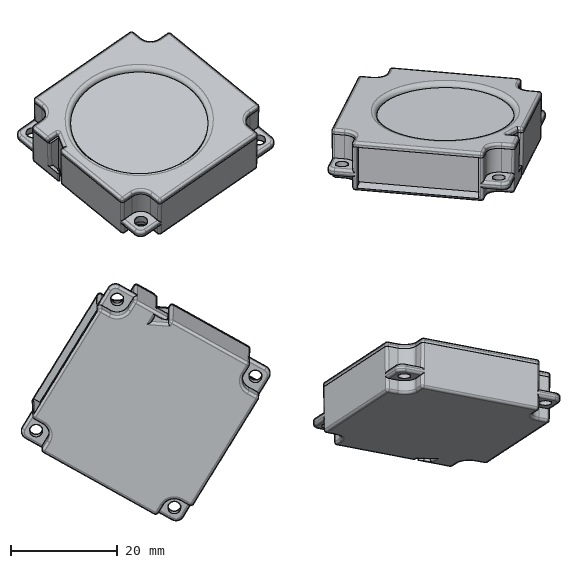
import cadquery as cq
import math

SIDE = 35.0
HEIGHT = 10.0
HALF = SIDE / 2
TOP_Z = HEIGHT / 2
BOTTOM_Z = -TOP_Z

COVER_THICKNESS = 1.0
BASE_TOP_Z = TOP_Z - COVER_THICKNESS
BASE_HEIGHT = HEIGHT - COVER_THICKNESS
INTAKE_Y = -1.65
INTAKE_RADIUS = 12.85

EDGE_RADIUS = 0.52
BASE_DRAFT = 1.0

HOLE_OFFSET = 14.98
HOLE_DIAMETER = 2.4
NOTCH_RADIUS = 2.45
NOTCH_WALL = HOLE_OFFSET - NOTCH_RADIUS
EAR_TOP_Z = -0.88
EAR_THICKNESS = 1.55
EAR_CORNER_RADIUS = 1.5
CORNERS = [(sx, sy) for sx in (-1, 1) for sy in (-1, 1)]

OUTLET_HALF_WIDTH = 11.62
OUTLET_RECESS_X = -16.15
OUTLET_RECESS_BOTTOM_Z = -3.68
OUTLET_GAP_DEPTH = 5.0
OUTLET_LIP_Z = BOTTOM_Z + EDGE_RADIUS

CHANNEL_LEFT_X = -7.6
CHANNEL_LEFT_Y = -15.12
CHANNEL_RIGHT_X = -4.75
CHANNEL_RIGHT_Y = -16.5
CHANNEL_SLOPE = (CHANNEL_RIGHT_Y - CHANNEL_LEFT_Y) / (CHANNEL_RIGHT_X - CHANNEL_LEFT_X)
COVER_CHANNEL_CLEARANCE = 0.42
COVER_CHANNEL_CORNER_RADIUS = 0.15

FLAP_TOP_Z = -2.52
FLAP_BACK_Y = -16.65
FLAP_TAPER_X = -6.3
FLAP_TIP_X = -5.25
FLAP_TIP_Y = -17.0
FLAP_TIP_RADIUS = 0.2

OVERCUT = 1.75
MARGIN = 0.18


def corner_region(wall, radius, bottom_z, top_z):
    """Prisms that fill the four corners outside `wall`, with a rounded inner corner."""
    size = HALF + OVERCUT - wall
    middle = wall + size / 2
    prism = (
        cq.Workplane("XY")
        .workplane(offset=bottom_z)
        .center(middle, middle)
        .rect(size, size)
        .extrude(top_z - bottom_z)
        .edges("|Z and <X and <Y")
        .fillet(radius)
    )
    region = cq.Workplane("XY")
    for turn in range(4):
        region = region.add(prism.rotate((0, 0, 0), (0, 0, 1), 90 * turn))
    return region.combine()


def is_notch_mouth(edge):
    """True for an upright edge where a notch wall meets an outer wall."""
    centre = edge.Center()
    near, far = sorted((abs(centre.x), abs(centre.y)))
    return abs(near - NOTCH_WALL) < EDGE_RADIUS / 2 and far > HALF - EDGE_RADIUS


def round_notch_mouths(body):
    """Round the upright edges where the corner notches open to the outer walls."""
    upright = [e for e in body.edges().vals() if e.BoundingBox().zlen > COVER_THICKNESS / 2]
    return body.newObject([e for e in upright if is_notch_mouth(e)]).fillet(EDGE_RADIUS)


def channel(left_x, bottom_z, top_z):
    """Prism that cuts the wire channel, its left wall at `left_x`."""
    left_y = CHANNEL_LEFT_Y + CHANNEL_SLOPE * (left_x - CHANNEL_LEFT_X)
    mouth_y = -HALF - OVERCUT
    outline = [
        (left_x, mouth_y),
        (left_x, left_y),
        (CHANNEL_RIGHT_X, CHANNEL_RIGHT_Y),
        (CHANNEL_RIGHT_X, mouth_y),
    ]
    floor = cq.Workplane("XY").workplane(offset=bottom_z)
    return floor.polyline(outline).close().extrude(top_z - bottom_z)


def upright_mouth_edge(x, bottom_z):
    """Selects the upright edge at `x` in the -Y side that starts at `bottom_z`."""
    return cq.selectors.BoxSelector(
        (x - MARGIN, -HALF - MARGIN, bottom_z + MARGIN), (x + MARGIN, -HALF + MARGIN, TOP_Z - MARGIN)
    )


def drafted_block():
    """Square block of the base's full height, leaning in towards the bottom."""
    top_outline = cq.Workplane("XY").workplane(offset=BASE_TOP_Z).rect(SIDE, SIDE)
    return top_outline.extrude(-BASE_HEIGHT, taper=BASE_DRAFT)


def make_tower():
    """Base block without ears: drafted, notched at the corners, notch mouths rounded."""
    tower = drafted_block().cut(corner_region(NOTCH_WALL, NOTCH_RADIUS, BOTTOM_Z, BASE_TOP_Z))
    return round_notch_mouths(tower)


def flap_prism():
    """Thin tapered tongue across the channel, reaching past the outer wall."""
    left_x = CHANNEL_LEFT_X - OVERCUT
    front_y = -HALF - OVERCUT
    outline = [
        (left_x, front_y),
        (left_x, FLAP_BACK_Y),
        (FLAP_TAPER_X, FLAP_BACK_Y),
        (FLAP_TIP_X, FLAP_TIP_Y),
        (FLAP_TIP_X, front_y),
    ]
    floor = cq.Workplane("XY").workplane(offset=BOTTOM_Z)
    return floor.polyline(outline).close().extrude(FLAP_TOP_Z - BOTTOM_Z)


def cut_wire_channel(body):
    """Cut the channel around the flap and round its two upright mouth edges."""
    body = body.cut(channel(CHANNEL_LEFT_X, BOTTOM_Z, BASE_TOP_Z).cut(flap_prism()))
    left_mouth = upright_mouth_edge(CHANNEL_LEFT_X, FLAP_TOP_Z)
    right_mouth = upright_mouth_edge(CHANNEL_RIGHT_X, BOTTOM_Z)
    return body.edges(left_mouth + right_mouth).fillet(EDGE_RADIUS)


def round_bottom(body):
    """Round the bottom edges, except along the back and tip of the thin flap."""
    flap_edges = cq.selectors.BoxSelector(
        (CHANNEL_LEFT_X, FLAP_TIP_Y - EDGE_RADIUS / 2, BOTTOM_Z - MARGIN),
        (FLAP_TIP_X + MARGIN, FLAP_BACK_Y + MARGIN, BOTTOM_Z + MARGIN),
    )
    all_edges = cq.selectors.BoxSelector(
        (-HALF, -HALF, BOTTOM_Z - MARGIN), (HALF, HALF, BOTTOM_Z + MARGIN)
    )
    return body.edges(all_edges - flap_edges).fillet(EDGE_RADIUS)


def round_flap_tip(body):
    return body.edges(upright_mouth_edge(FLAP_TIP_X, BOTTOM_Z)).fillet(FLAP_TIP_RADIUS)


def make_ears():
    """Four rounded ears with mounting holes that fill the notches at ear height."""
    slab = cq.Workplane("XY").workplane(offset=EAR_TOP_Z).rect(SIDE, SIDE).extrude(-EAR_THICKNESS)
    plate = drafted_block().intersect(slab)
    plate = plate.edges("not #Z").fillet(EAR_CORNER_RADIUS)
    plate = plate.faces("<Z or >Z").edges().fillet(EDGE_RADIUS)
    holes = (
        cq.Workplane("XY")
        .workplane(offset=BOTTOM_Z)
        .pushPoints([(sx * HOLE_OFFSET, sy * HOLE_OFFSET) for sx, sy in CORNERS])
        .circle(HOLE_DIAMETER / 2)
        .extrude(HEIGHT)
    )
    region = corner_region(NOTCH_WALL - EDGE_RADIUS, NOTCH_RADIUS, BOTTOM_Z, BASE_TOP_Z)
    return plate.intersect(region).cut(holes)


def outlet_cutter():
    """Shallow outlet recess plus the wedge-shaped gap along its floor."""
    mouth_x = -HALF - OVERCUT
    outline = [
        (mouth_x, BASE_TOP_Z),
        (OUTLET_RECESS_X, BASE_TOP_Z),
        (OUTLET_RECESS_X, OUTLET_RECESS_BOTTOM_Z),
        (-HALF + OUTLET_GAP_DEPTH, OUTLET_RECESS_BOTTOM_Z),
        (-HALF, OUTLET_LIP_Z),
        (mouth_x, OUTLET_LIP_Z),
    ]
    return cq.Workplane("XZ").polyline(outline).close().extrude(OUTLET_HALF_WIDTH, both=True)


def make_base():
    """Fan housing with ears, wire channel and outlet."""
    base = round_flap_tip(round_bottom(cut_wire_channel(make_tower())))
    return base.union(make_ears()).cut(outlet_cutter())


def intake_cutter():
    """Round opening whose wall flares out to the top in a quarter circle."""
    edge_radius = INTAKE_RADIUS + COVER_THICKNESS
    arc_middle = COVER_THICKNESS * (1 - math.sqrt(0.5))
    profile = (
        cq.Workplane("XZ")
        .moveTo(0, BASE_TOP_Z)
        .lineTo(INTAKE_RADIUS, BASE_TOP_Z)
        .threePointArc((INTAKE_RADIUS + arc_middle, TOP_Z - arc_middle), (edge_radius, TOP_Z))
        .lineTo(0, TOP_Z)
        .close()
    )
    return profile.revolve(360, (0, 0, 0), (0, 1, 0)).translate((0, INTAKE_Y, 0))


def make_cover():
    """Flat lid with the round air intake."""
    cover = cq.Workplane("XY").workplane(offset=BASE_TOP_Z).rect(SIDE, SIDE).extrude(COVER_THICKNESS)
    cover = cover.cut(corner_region(NOTCH_WALL, NOTCH_RADIUS, BASE_TOP_Z, TOP_Z))
    cover = round_notch_mouths(cover)
    left_x = CHANNEL_LEFT_X - COVER_CHANNEL_CLEARANCE
    wire = channel(left_x, BASE_TOP_Z, TOP_Z)
    wire = wire.edges("|Z and >Y").fillet(COVER_CHANNEL_CORNER_RADIUS)
    cover = cover.cut(wire)
    left_mouth = upright_mouth_edge(left_x, BASE_TOP_Z)
    right_mouth = upright_mouth_edge(CHANNEL_RIGHT_X, BASE_TOP_Z)
    cover = cover.edges(left_mouth + right_mouth).fillet(EDGE_RADIUS)
    cover = cover.faces(">Z").edges().fillet(EDGE_RADIUS)
    return cover.cut(intake_cutter())


base = make_base()
cover = make_cover()
result = cq.Compound.makeCompound([base.val(), cover.val()])